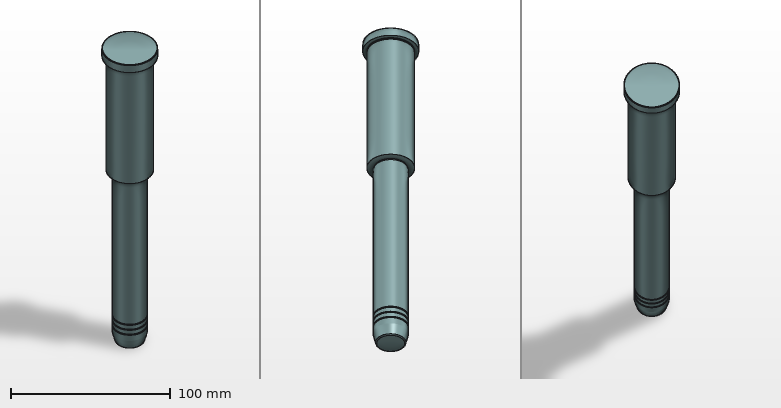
import cadquery as cq

total_length = 231.0
head_radius = 17.5
head_height = 6.0
head_chamfer = 0.5
body_radius = 15.0
body_length = 89.9
pin_radius = 11.0

head_relief_height = 1.2
head_relief_depth = 0.2
neck_height = 1.5
neck_depth = 0.7

lead_in_height = 7.5
lead_in_radius = 9.5
lead_in_bulge = 0.15
tip_chamfer = 0.7

groove_count = 3
groove_pitch = 4.0
first_groove_height = 12.5
groove_width = 1.0
groove_depth = 0.2

head_bottom = total_length - head_height
body_bottom = head_bottom - body_length


def cylinder(radius, bottom, top):
    return cq.Workplane("XY").workplane(offset=bottom).circle(radius).extrude(top - bottom)


def ring_groove(outer_radius, depth, bottom, top):
    """V-section ring to cut from a cylinder of the given outer radius."""
    return (
        cq.Workplane("XZ")
        .moveTo(outer_radius, bottom)
        .lineTo(outer_radius - depth, (bottom + top) / 2)
        .lineTo(outer_radius, top)
        .close()
        .revolve(360, (0, 0), (0, 1))
    )


def make_pin():
    """Slim shaft with a tapered neck, a curved lead-in and a chamfered tip."""
    lead_in_middle = (
        (pin_radius + lead_in_radius) / 2 + lead_in_bulge,
        (lead_in_height + tip_chamfer) / 2,
    )
    return (
        cq.Workplane("XZ")
        .lineTo(lead_in_radius - tip_chamfer, 0)
        .lineTo(lead_in_radius, tip_chamfer)
        .threePointArc(lead_in_middle, (pin_radius, lead_in_height))
        .lineTo(pin_radius, body_bottom - neck_height)
        .lineTo(pin_radius - neck_depth, body_bottom)
        .lineTo(0, body_bottom)
        .close()
        .revolve(360, (0, 0), (0, 1))
    )


head = cylinder(head_radius, head_bottom, total_length).faces(">Z").edges().chamfer(head_chamfer)
body = cylinder(body_radius, body_bottom, head_bottom)
result = make_pin().union(body).union(head)

result = result.cut(
    ring_groove(body_radius, head_relief_depth, head_bottom - head_relief_height, head_bottom)
)

for index in range(groove_count):
    groove_bottom = first_groove_height + index * groove_pitch - groove_width / 2
    result = result.cut(
        ring_groove(pin_radius, groove_depth, groove_bottom, groove_bottom + groove_width)
    )